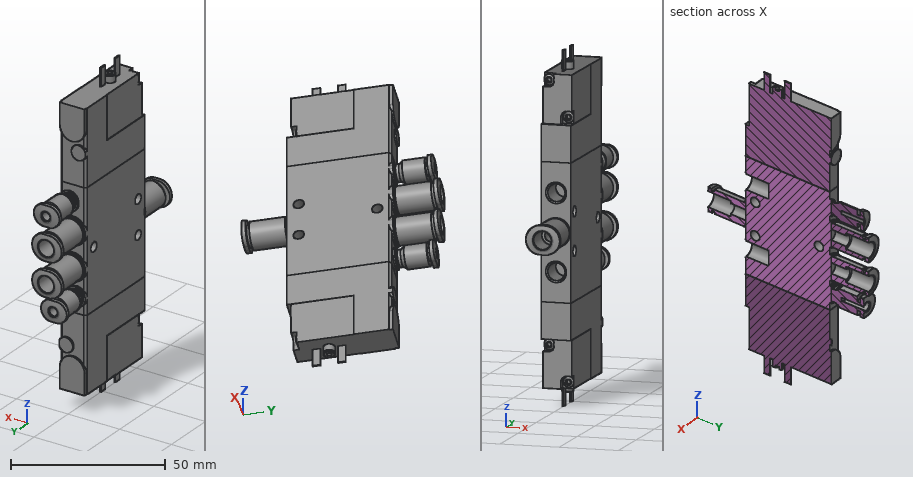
import cadquery as cq


body_width = 10.1
half_width = body_width / 2
rear_y = 34.5
seat_y = 35.1
rear_chamfer = 0.8
boss_root_y = rear_y - 2 * rear_chamfer
block_half_height = 23.0

mount_hole_d = 3.5
mount_front_y = 4.0
mount_rear_y = 30.0

front_port_z = 13.0
front_port_d = 5.8
front_port_mouth_d = 7.0
front_port_mouth_depth = 0.4
front_port_depth = 9.4

large_rear_z = front_port_z / 2
small_rear_z = 16.8
small_rear_x = 1.4

large_seat_d = 10.3
small_seat_d = 7.4

pilot_top_z = 51.7
coil_bottom_z = 35.3
coil_front_y = 1.4
coil_rear_y = 22.1
coil_inset = 0.1

button_y = 13.0
button_d = 4.0
button_height = 2.8
button_chamfer = 0.4
button_socket_d = 1.5
button_socket_depth = 0.9

terminal_height = 58.5 - pilot_top_z
terminal_width = 2.6
terminal_thickness = 0.5
terminal_offset = 4.2

recess_radius = 2.1
recess_depth = 1.9
screw_side_offset = 1.8
screw_end_offset = 2.2
screw_base_d = 3.6
screw_top_d = 2.0
screw_height = 0.5
screw_socket_d = 1.5
screw_socket_depth = 0.9

cover_half_width = 4.8
cover_center_z = 43.6
override_d = 5.5
override_x = -2.5

large_d = 9.6
large_length = 15.3
large_tip_d = 7.0
large_bore_d = 4.0
large_mouth_d = 6.3
large_tube_d = 6.0

small_d = 8.0
small_length = 13.3
small_root_d = 6.0
small_cone_end_d = 7.4
small_root_length = 1.8
small_cone_end = 3.0
small_tip_d = 4.5
small_neck_d = 4.6
small_mouth_d = 3.6
small_bore_d = 2.5
small_tube_d = 3.0

groove_start = 0.4
groove_end = 0.7
groove_depth = 0.1
collar_length = 1.8
collar_crown = 0.5
collar_gap = 1.0
large_collar_d = 9.6
large_half_flat = 0.9
small_collar_d = 7.7
small_half_flat = 1.11
large_neck_d = 7.4
large_neck_root_d = 8.7
tube_depth = 9.4


def y_cylinder(diameter, x, z, y_start, y_end):
    length = y_end - y_start
    return cq.Workplane(
        cq.Solid.makeCylinder(diameter / 2, length, cq.Vector(x, y_start, z), cq.Vector(0, 1, 0))
    )


def y_cone(start_d, end_d, x, z, y_start, y_end):
    length = y_end - y_start
    return cq.Workplane(
        cq.Solid.makeCone(start_d / 2, end_d / 2, length, cq.Vector(x, y_start, z), cq.Vector(0, 1, 0))
    )


def box(x_range, y_range, z_range):
    (x0, x1), (y0, y1), (z0, z1) = x_range, y_range, z_range
    return cq.Workplane().box(x1 - x0, y1 - y0, z1 - z0, centered=False).translate((x0, y0, z0))


def chamfered_bar(z_bottom, z_top):
    """Length of the valve section, with its two long rear edges chamfered."""
    bar = box((-half_width, half_width), (0, rear_y), (z_bottom, z_top))
    return bar.edges("|Z and >Y").chamfer(rear_chamfer)


def half_turn(part):
    return part.rotate((0, 0, 0), (0, 1, 0), 180)


def rear_boss(diameter, x, z):
    """Round boss rising out of the rear face, trimmed flush with the sides."""
    sides = box((-half_width, half_width), (boss_root_y, seat_y), (z - diameter, z + diameter))
    return y_cylinder(diameter, x, z, boss_root_y, seat_y).intersect(sides)


def make_block():
    block = chamfered_bar(-block_half_height, block_half_height)
    for side in (1, -1):
        block = block.union(rear_boss(large_seat_d, 0, side * large_rear_z))
        block = block.union(rear_boss(small_seat_d, side * small_rear_x, side * small_rear_z))
    for side in (1, -1):
        z = side * front_port_z
        block = block.cut(y_cylinder(front_port_d, 0, z, 0, front_port_depth))
        block = block.cut(y_cone(front_port_mouth_d, front_port_d, 0, z, 0, front_port_mouth_depth))
    mount_points = [(mount_front_y, large_rear_z), (mount_front_y, -large_rear_z), (mount_rear_y, 0)]
    mount_holes = (
        cq.Workplane("YZ").pushPoints(mount_points).circle(mount_hole_d / 2).extrude(half_width, both=True)
    )
    return block.cut(mount_holes)


def add_screw(pilot, side, end):
    """Socket screw in a recess at a corner of the coil front, open to the coil's side and end.

    The tapered head stands on the recess floor and is trimmed flush with the coil side.
    side is the sign of X; end is +1 for the upper corner and -1 for the lower one.
    """
    coil_end_z = pilot_top_z if end > 0 else coil_bottom_z
    x = side * (half_width - screw_side_offset)
    z = coil_end_z - end * screw_end_offset
    floor_y = coil_front_y + recess_depth
    inner_x = x - side * recess_radius
    inner_z = z - end * recess_radius
    coil_side_x = side * (half_width - coil_inset)
    recess = box(
        sorted((inner_x, coil_side_x)), (coil_front_y, floor_y), sorted((inner_z, coil_end_z))
    )
    inner_corner = cq.selectors.NearestToPointSelector((inner_x, (coil_front_y + floor_y) / 2, inner_z))
    recess = recess.edges("|Y").edges(inner_corner).fillet(recess_radius)
    pilot = pilot.cut(recess)

    head_y = floor_y - screw_height
    head = y_cone(screw_top_d, screw_base_d, x, z, head_y, floor_y)
    pilot = pilot.union(head.intersect(recess))
    return pilot.cut(y_cylinder(screw_socket_d, x, z, head_y, head_y + screw_socket_depth))


def make_pilot():
    """Upper pilot valve with its coil, screws, button and terminals."""
    pilot = chamfered_bar(block_half_height, pilot_top_z)

    coil_z = (coil_bottom_z, pilot_top_z)
    pilot = pilot.cut(box((-half_width, half_width), (0, coil_front_y), coil_z))
    for x_range in ((-half_width, coil_inset - half_width), (half_width - coil_inset, half_width)):
        pilot = pilot.cut(box(x_range, (coil_front_y, coil_rear_y), coil_z))

    pilot = pilot.union(
        box((-cover_half_width, cover_half_width), (boss_root_y, seat_y), (cover_center_z, pilot_top_z))
    )
    pilot = pilot.union(y_cylinder(2 * cover_half_width, 0, cover_center_z, boss_root_y, seat_y))
    pilot = pilot.union(rear_boss(override_d, override_x, coil_bottom_z))

    pilot = add_screw(pilot, -1, 1)
    pilot = add_screw(pilot, 1, -1)

    button = (
        cq.Workplane("XY", origin=(0, button_y, pilot_top_z))
        .circle(button_d / 2).extrude(button_height)
        .faces(">Z").chamfer(button_chamfer)
        .faces(">Z").workplane().hole(button_socket_d, button_socket_depth)
    )
    terminals = (
        cq.Workplane("XY", origin=(0, button_y, pilot_top_z))
        .pushPoints([(0, -terminal_offset), (0, terminal_offset)])
        .rect(terminal_thickness, terminal_width).extrude(terminal_height)
    )
    return pilot.union(button).union(terminals)


def make_collar(diameter, half_flat, tip_d, length):
    """Release collar: two half rounds joined by flats, with a conical crown."""
    start = length - collar_length
    rim = length - collar_crown
    width = diameter + 2 * half_flat
    plate = (
        cq.Workplane("XZ").slot2D(width, diameter).extrude(-collar_length).translate((0, start, 0))
    )
    crown = y_cylinder(width, 0, 0, start, rim).union(y_cone(width, tip_d, 0, 0, rim, length))
    return plate.intersect(crown)


def cut_groove(barrel, diameter):
    groove = y_cylinder(diameter, 0, 0, groove_start, groove_end)
    core = y_cylinder(diameter - 2 * groove_depth, 0, 0, groove_start, groove_end)
    return barrel.cut(groove.cut(core))


def cut_bore(fitting, length, mouth_d, tube_d, bore_d):
    """Through bore, widened for the tube and flared at the mouth."""
    mouth_depth = (mouth_d - tube_d) / 2
    fitting = fitting.cut(y_cylinder(bore_d, 0, 0, 0, length))
    fitting = fitting.cut(y_cylinder(tube_d, 0, 0, length - tube_depth, length))
    return fitting.cut(y_cone(tube_d, mouth_d, 0, 0, length - mouth_depth, length))


def make_large_fitting():
    collar_start = large_length - collar_length
    barrel_end = collar_start - collar_gap
    barrel = cut_groove(y_cylinder(large_d, 0, 0, 0, barrel_end), large_d)
    neck = y_cone(large_neck_root_d, large_neck_d, 0, 0, barrel_end, collar_start)
    collar = make_collar(large_collar_d, large_half_flat, large_tip_d, large_length)
    fitting = barrel.union(neck).union(collar)
    return cut_bore(fitting, large_length, large_mouth_d, large_tube_d, large_bore_d)


def make_small_fitting():
    collar_start = small_length - collar_length
    barrel_end = collar_start - collar_gap
    root = cut_groove(y_cylinder(small_root_d, 0, 0, 0, small_root_length), small_root_d)
    cone = y_cone(small_root_d, small_cone_end_d, 0, 0, small_root_length, small_cone_end)
    barrel = y_cylinder(small_d, 0, 0, small_cone_end, barrel_end)
    neck = y_cylinder(small_neck_d, 0, 0, barrel_end, collar_start)
    collar = make_collar(small_collar_d, small_half_flat, small_tip_d, small_length)
    fitting = root.union(cone).union(barrel).union(neck).union(collar)
    return cut_bore(fitting, small_length, small_mouth_d, small_tube_d, small_bore_d)


block = make_block()

upper_pilot = make_pilot()
lower_pilot = half_turn(upper_pilot)

large_fitting = make_large_fitting()
small_fitting = make_small_fitting()
front_fitting = large_fitting.rotate((0, 0, 0), (0, 0, 1), 180)

rear_fittings = []
for side in (1, -1):
    rear_fittings.append(large_fitting.translate((0, seat_y, side * large_rear_z)))
    rear_fittings.append(small_fitting.translate((side * small_rear_x, seat_y, side * small_rear_z)))

result = cq.Compound.makeCompound(
    [
        block.val(),
        upper_pilot.val(),
        lower_pilot.val(),
        front_fitting.val(),
        *[fitting.val() for fitting in rear_fittings],
    ]
)